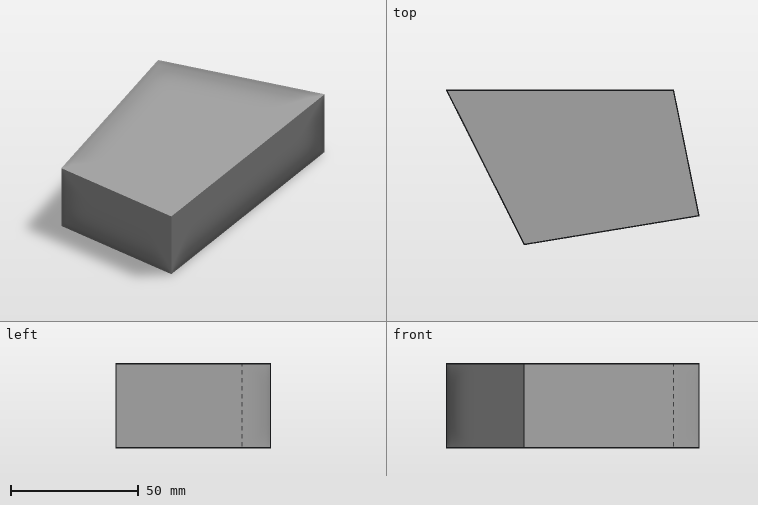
import cadquery as cq

length = 98.95
width = 60.6
height = 33.0

front_corner_x = 30.5
back_right_x = 89.0
right_corner_rise = 11.3

outline = [
    (0, width),
    (front_corner_x, 0),
    (length, right_corner_rise),
    (back_right_x, width),
]

result = cq.Workplane("XY").polyline(outline).close().extrude(height)